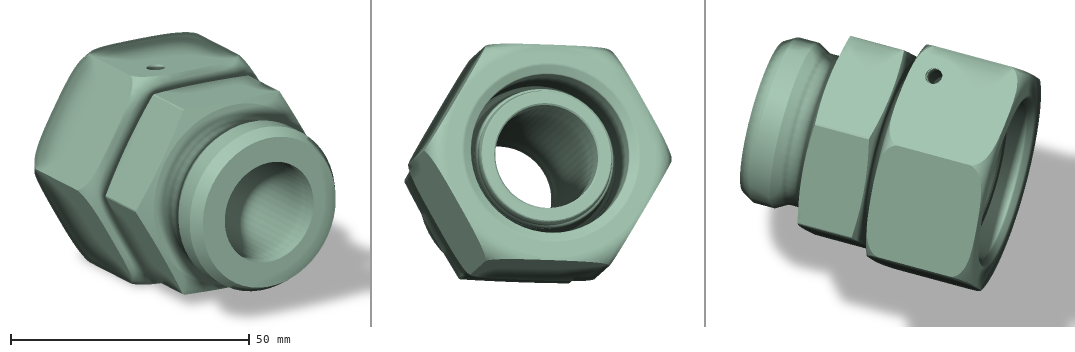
import cadquery as cq
import math


TOTAL_LENGTH = 53.5
NUT_LENGTH = 23.5
HEX_START = 25.45
HEX_END = 39.5

NUT_FLATS = 46.0
NUT_CORNER_ROUND = 4.0
NUT_BORE_RADIUS = 33.8 / 2
MOUTH_RADIUS = 38.25 / 2
MOUTH_ROUND = 1.05
MOUTH_CONE_TILT = 30.0
MOUTH_INNER_ROUND = 0.45

WIRE_DIAMETER = 3.25
WIRE_RING_RADIUS = 16.65
WIRE_X = 18.05
ENTRY_DIAMETER = 3.55
ENTRY_DEPTH = 1.35
ENTRY_TILT = 30.0

BORE_RADIUS = 22.0 / 2
BORE_CHAMFER = 0.3
SHANK_RADIUS = 32.9 / 2
TIP_X = 4.45
TIP_RADIUS = 13.95
TIP_CHAMFER = 0.2
CONE_HALF_ANGLE = 12.0
CONE_END_RADIUS = 15.55
COLLAR_RADIUS = 33.3 / 2
COLLAR_ROUND = 1.05
SHOULDER_ANGLE = 45.0
HEX_FLATS = 41.05
HEX_CORNER_RADIUS = 23.6
HEX_FACE_RADIUS = 19.8
HEX_CHAMFER_ANGLE = 15.0
FRONT_FILLET = 0.8
NECK_FILLET = 1.05
THREAD_RADIUS = 36.0 / 2
THREAD_START = 46.4
THREAD_END = 50.8
THREAD_CHAMFER_ANGLE = 30.0

O_RING_SECTION = 2.0
O_RING_X = 7.6
O_RING_OUTER_RADIUS = 14.9
O_RING_CENTRE_RADIUS = O_RING_OUTER_RADIUS - O_RING_SECTION / 2


def tan_deg(angle):
    return math.tan(math.radians(angle))


def sin_deg(angle):
    return math.sin(math.radians(angle))


def cos_deg(angle):
    return math.cos(math.radians(angle))


def turned(profile):
    """Revolve a closed (x, radius) profile about the X axis."""
    return profile.close().revolve(360, (0, 0, 0), (1, 0, 0))


def cylinder(start, end, radius):
    return cq.Workplane("YZ").workplane(offset=start).circle(radius).extrude(end - start)


def ring(x, centre_radius, section_diameter):
    """Round-section ring about the X axis."""
    section = cq.Workplane("XY").center(x, centre_radius).circle(section_diameter / 2)
    return section.revolve(360, (0, -centre_radius, 0), (1, -centre_radius, 0))


def hex_corner_radius(flats):
    """Distance from the axis to a sharp hexagon corner."""
    half_side_angle = 30
    return flats / 2 / cos_deg(half_side_angle)


def hex_prism(start, end, flats):
    """Hexagonal bar along X with flats on top and bottom and corners on the Y axis."""
    corner_diameter = 2 * hex_corner_radius(flats)
    return cq.Workplane("YZ").workplane(offset=start).polygon(6, corner_diameter).extrude(end - start)


def nut_outside():
    """Hexagon whose corners are rounded over towards both end faces."""
    rounded_bar = cylinder(0, NUT_LENGTH, hex_corner_radius(NUT_FLATS)).edges().fillet(NUT_CORNER_ROUND)
    return hex_prism(0, NUT_LENGTH, NUT_FLATS).intersect(rounded_bar)


def nut_inside():
    """Rounded conical mouth leading into one straight bore."""
    tilt = MOUTH_CONE_TILT
    cone_outer_x = MOUTH_ROUND * (1 - cos_deg(tilt))
    cone_outer_radius = MOUTH_RADIUS - MOUTH_ROUND * sin_deg(tilt)
    cone_inner_radius = NUT_BORE_RADIUS + MOUTH_INNER_ROUND * (1 - sin_deg(tilt))
    cone_inner_x = cone_outer_x + (cone_outer_radius - cone_inner_radius) * tan_deg(tilt)
    bore_x = cone_inner_x + MOUTH_INNER_ROUND * cos_deg(tilt)

    mouth_mid = (
        MOUTH_ROUND * (1 - cos_deg(tilt / 2)),
        MOUTH_RADIUS - MOUTH_ROUND * sin_deg(tilt / 2),
    )
    inner_mid_angle = (90 + tilt) / 2
    inner_mid = (
        bore_x - MOUTH_INNER_ROUND * cos_deg(inner_mid_angle),
        NUT_BORE_RADIUS + MOUTH_INNER_ROUND * (1 - sin_deg(inner_mid_angle)),
    )
    profile = (
        cq.Workplane("XY")
        .lineTo(0, MOUTH_RADIUS)
        .threePointArc(mouth_mid, (cone_outer_x, cone_outer_radius))
        .lineTo(cone_inner_x, cone_inner_radius)
        .threePointArc(inner_mid, (bore_x, NUT_BORE_RADIUS))
        .lineTo(NUT_LENGTH, NUT_BORE_RADIUS)
        .lineTo(NUT_LENGTH, 0)
    )
    return turned(profile)


def wire_hole():
    """Stepped hole from the top flat, ending where it is tangent to the wire ring."""
    tangent_y = -WIRE_RING_RADIUS * cos_deg(ENTRY_TILT)
    tangent_z = WIRE_RING_RADIUS * sin_deg(ENTRY_TILT)
    depth = (NUT_FLATS / 2 - tangent_z) / cos_deg(ENTRY_TILT)
    overrun = ENTRY_DIAMETER
    outward = cq.Vector(0, sin_deg(ENTRY_TILT), cos_deg(ENTRY_TILT))
    tangent_point = cq.Vector(WIRE_X, tangent_y, tangent_z)
    step_point = tangent_point + outward * (depth - ENTRY_DEPTH)
    wire_way = cq.Solid.makeCylinder(WIRE_DIAMETER / 2, depth, tangent_point, outward)
    entry = cq.Solid.makeCylinder(ENTRY_DIAMETER / 2, ENTRY_DEPTH + overrun, step_point, outward)
    return cq.Workplane(wire_way).union(cq.Workplane(entry))


def make_wire():
    return ring(WIRE_X, WIRE_RING_RADIUS, WIRE_DIAMETER)


def make_nut():
    return nut_outside().cut(nut_inside()).cut(wire_hole()).cut(make_wire()).solids()


def body_hexagon():
    """Hexagon turned down at its corners, both ends chamfered by a shallow cone."""
    chamfer_length = (HEX_CORNER_RADIUS - HEX_FACE_RADIUS) * tan_deg(HEX_CHAMFER_ANGLE)
    chamfered_bar = turned(
        cq.Workplane("XY")
        .moveTo(HEX_START, 0)
        .lineTo(HEX_START, HEX_FACE_RADIUS)
        .lineTo(HEX_START + chamfer_length, HEX_CORNER_RADIUS)
        .lineTo(HEX_END - chamfer_length, HEX_CORNER_RADIUS)
        .lineTo(HEX_END, HEX_FACE_RADIUS)
        .lineTo(HEX_END, 0)
    )
    return hex_prism(HEX_START, HEX_END, HEX_FLATS).intersect(chamfered_bar)


def body_stem():
    """Sealing cone, rounded collar and shank, flared by a fillet into the hexagon."""
    cone_start = TIP_X + TIP_CHAMFER
    cone_end = cone_start + (CONE_END_RADIUS - TIP_RADIUS) / tan_deg(CONE_HALF_ANGLE)
    shoulder_radius = COLLAR_RADIUS - COLLAR_ROUND * (1 - cos_deg(SHOULDER_ANGLE))
    shoulder_end = cone_end + (shoulder_radius - CONE_END_RADIUS) / tan_deg(SHOULDER_ANGLE)
    collar_start = shoulder_end + COLLAR_ROUND * sin_deg(SHOULDER_ANGLE)
    round_mid = (
        collar_start - COLLAR_ROUND * sin_deg(SHOULDER_ANGLE / 2),
        COLLAR_RADIUS - COLLAR_ROUND * (1 - cos_deg(SHOULDER_ANGLE / 2)),
    )
    fillet_mid = (
        HEX_START - FRONT_FILLET * (1 - sin_deg(45)),
        SHANK_RADIUS + FRONT_FILLET * (1 - cos_deg(45)),
    )
    return turned(
        cq.Workplane("XY")
        .moveTo(TIP_X, 0)
        .lineTo(TIP_X, TIP_RADIUS - TIP_CHAMFER)
        .lineTo(cone_start, TIP_RADIUS)
        .lineTo(cone_end, CONE_END_RADIUS)
        .lineTo(shoulder_end, shoulder_radius)
        .threePointArc(round_mid, (collar_start, COLLAR_RADIUS))
        .lineTo(WIRE_X, COLLAR_RADIUS)
        .lineTo(WIRE_X, SHANK_RADIUS)
        .lineTo(HEX_START - FRONT_FILLET, SHANK_RADIUS)
        .threePointArc(fillet_mid, (HEX_START, SHANK_RADIUS + FRONT_FILLET))
        .lineTo(HEX_END, SHANK_RADIUS + FRONT_FILLET)
        .lineTo(HEX_END, 0)
    )


def body_threaded_end():
    """Filleted neck and the threaded collar with conical ends."""
    angle = THREAD_CHAMFER_ANGLE
    neck_rise = NECK_FILLET * (1 - cos_deg(angle))
    cone_foot_radius = SHANK_RADIUS + neck_rise
    cone_foot_x = THREAD_START - (THREAD_RADIUS - cone_foot_radius) / tan_deg(angle)
    neck_end = cone_foot_x - NECK_FILLET * sin_deg(angle)
    end_radius = THREAD_RADIUS - (TOTAL_LENGTH - THREAD_END) * tan_deg(angle)
    hex_fillet_mid = (
        HEX_END + NECK_FILLET * (1 - sin_deg(45)),
        SHANK_RADIUS + NECK_FILLET * (1 - cos_deg(45)),
    )
    cone_fillet_mid = (
        neck_end + NECK_FILLET * sin_deg(angle / 2),
        SHANK_RADIUS + NECK_FILLET * (1 - cos_deg(angle / 2)),
    )
    return turned(
        cq.Workplane("XY")
        .moveTo(HEX_END, 0)
        .lineTo(HEX_END, SHANK_RADIUS + NECK_FILLET)
        .threePointArc(hex_fillet_mid, (HEX_END + NECK_FILLET, SHANK_RADIUS))
        .lineTo(neck_end, SHANK_RADIUS)
        .threePointArc(cone_fillet_mid, (cone_foot_x, cone_foot_radius))
        .lineTo(THREAD_START, THREAD_RADIUS)
        .lineTo(THREAD_END, THREAD_RADIUS)
        .lineTo(TOTAL_LENGTH, end_radius)
        .lineTo(TOTAL_LENGTH, 0)
    )


def body_bore():
    """Through bore with a small chamfer at the tip."""
    return turned(
        cq.Workplane("XY")
        .moveTo(TIP_X, 0)
        .lineTo(TIP_X, BORE_RADIUS + BORE_CHAMFER)
        .lineTo(TIP_X + BORE_CHAMFER, BORE_RADIUS)
        .lineTo(TOTAL_LENGTH, BORE_RADIUS)
        .lineTo(TOTAL_LENGTH, 0)
    )


def o_ring_groove():
    """Square groove whose floor and walls touch the O-ring."""
    start = O_RING_X - O_RING_SECTION / 2
    end = O_RING_X + O_RING_SECTION / 2
    floor_radius = O_RING_OUTER_RADIUS - O_RING_SECTION
    return cylinder(start, end, SHANK_RADIUS).cut(cylinder(start, end, floor_radius))


def make_body():
    solid = body_hexagon().union(body_stem()).union(body_threaded_end())
    return solid.cut(body_bore()).cut(o_ring_groove()).cut(make_wire()).solids()


nut = make_nut()
body = make_body()
o_ring = ring(O_RING_X, O_RING_CENTRE_RADIUS, O_RING_SECTION)
wire = make_wire()

result = cq.Compound.makeCompound([nut.val(), body.val(), o_ring.val(), wire.val()])